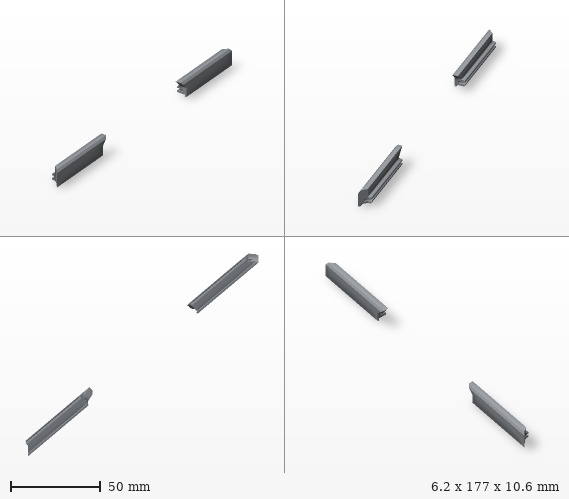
import cadquery as cq

overall_length = 177.0
strip_length = 51.0
depth = 6.2
height = 10.6

web_thickness = 4.0
foot_thickness = 1.0
foot_height = 1.2
fin_thickness = 1.2
fin_gap = 1.6
fin_bevel_width = 0.7
fin_bevel_drop = 0.4
groove_floor_thickness = 2.3
top_chamfer_width = 1.0
top_chamfer_drop = 1.6
top_bevel_width = 0.5
top_bevel_drop = 0.2

undercut_height = 4.8
foot_flare = 0.5

back = depth / 2
fin_tip = -depth / 2
web_front = back - web_thickness
foot_front = back - foot_thickness
groove_floor = back - groove_floor_thickness
outer_end = overall_length / 2
inner_end = outer_end - strip_length
fin_outer_end = outer_end - web_thickness
lower_fin_top = foot_height + fin_thickness
upper_fin_bottom = lower_fin_top + fin_gap
upper_fin_top = upper_fin_bottom + fin_thickness


def strip_bar():
    """Full-length bar with the finned cross-section, from inner_end to outer_end."""
    profile = [
        (foot_front, 0),
        (back, 0),
        (back, height - top_chamfer_drop),
        (back - top_chamfer_width, height - top_bevel_drop),
        (back - top_chamfer_width - top_bevel_width, height),
        (web_front, height),
        (web_front, upper_fin_top),
        (fin_tip + fin_bevel_width, upper_fin_top),
        (fin_tip, upper_fin_top - fin_bevel_drop),
        (fin_tip, upper_fin_bottom),
        (groove_floor, upper_fin_bottom),
        (groove_floor, lower_fin_top),
        (fin_tip, lower_fin_top),
        (fin_tip, foot_height + fin_bevel_drop),
        (fin_tip + fin_bevel_width, foot_height),
        (foot_front, foot_height),
    ]
    plane = cq.Workplane("XZ", origin=(0, outer_end, 0))
    return plane.polyline(profile).close().extrude(strip_length)


def outer_end_waste():
    """Material beyond the 45 degree mitre of the web and the square outer end of the fins."""
    outline = [
        (back, outer_end),
        (web_front, fin_outer_end),
        (fin_tip, fin_outer_end),
        (fin_tip, outer_end),
    ]
    return cq.Workplane("XY").polyline(outline).close().extrude(height)


def inner_end_waste():
    """Material below the 45 degree undercut at the inner end, leaving a flared foot."""
    outline = [
        (inner_end, height),
        (inner_end + undercut_height, height - undercut_height),
        (inner_end + undercut_height, foot_flare),
        (inner_end + undercut_height - foot_flare, 0),
        (inner_end, 0),
    ]
    plane = cq.Workplane("YZ", origin=(fin_tip, 0, 0))
    return plane.polyline(outline).close().extrude(depth)


def strip(side):
    """One strip, on the +Y side for side = 1 and mirrored to the -Y side for side = -1."""
    body = strip_bar().cut(outer_end_waste()).cut(inner_end_waste())
    return body if side > 0 else body.mirror("XZ")


strips = [strip(side).val() for side in (1, -1)]

result = cq.Compound.makeCompound(strips)